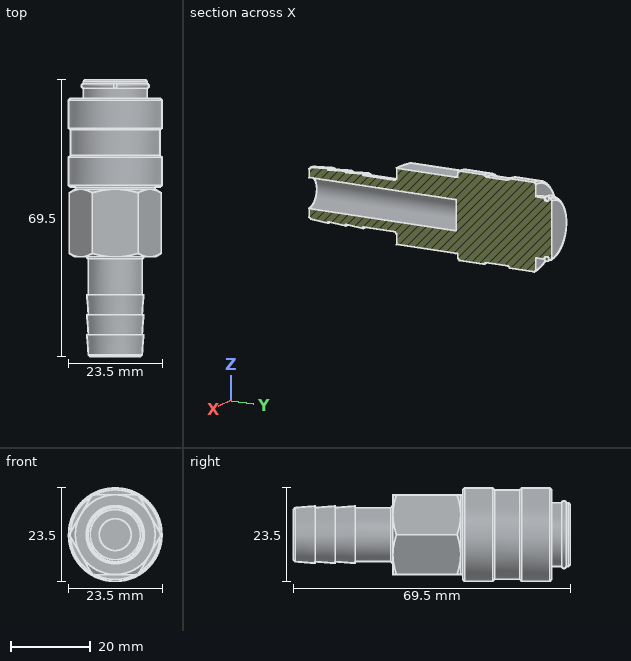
import cadquery as cq
import math


total_length = 69.5
barb_pitch = 5.0
barb_count = 3
stem_length = 25.0
hex_length = 17.0
neck_length = 0.5
sleeve_length = 22.35
land_length = 8.0

bore_diameter = 8.0
stem_diameter = 13.6
barb_diameter = 14.4
hex_across_flats = 20.0
hex_across_corners = hex_across_flats / math.cos(math.pi / 6)
neck_diameter = hex_across_flats
sleeve_diameter = 23.5
waist_diameter = 22.5
nose_diameter = 16.1

edge_chamfer = 0.5
hex_chamfer_angle = 30.0

wire_diameter = 1.2
ring_outer_diameter = 17.0
ring_from_nose_end = 1.6
ring_gap = 0.7

hex_start = stem_length
hex_end = hex_start + hex_length
sleeve_start = hex_end + neck_length
sleeve_end = sleeve_start + sleeve_length
ring_y = total_length - ring_from_nose_end
ring_radius = (ring_outer_diameter - wire_diameter) / 2
bore_depth = stem_length + hex_length


def turn(profile, angle=360.0):
    """Revolve an outline drawn with Z as radius about the Y axis."""
    return profile.revolve(angle, (0, 0, 0), (0, 1, 0))


def cylinder(diameter, start, end):
    """Solid cylinder on the Y axis between two Y stations."""
    radius = diameter / 2
    return turn(
        cq.Workplane("ZY")
        .moveTo(0, start)
        .lineTo(radius, start)
        .lineTo(radius, end)
        .lineTo(0, end)
        .close()
    )


def make_stem():
    """Hose stem with a chamfered tip, saw-tooth barbs and a flared root at the hexagon."""
    stem_radius = stem_diameter / 2
    profile = (
        cq.Workplane("ZY")
        .moveTo(0, 0)
        .lineTo(stem_radius - edge_chamfer, 0)
        .lineTo(stem_radius, edge_chamfer)
    )
    for barb in range(barb_count):
        crest_y = edge_chamfer + (barb + 1) * barb_pitch
        profile = profile.lineTo(barb_diameter / 2, crest_y).lineTo(stem_radius, crest_y)
    profile = (
        profile.lineTo(stem_radius, hex_start - edge_chamfer)
        .lineTo(stem_radius + edge_chamfer, hex_start)
        .lineTo(0, hex_start)
        .close()
    )
    return turn(profile)


def make_hexagon():
    """Hexagon with corners on +X and -X, its corners turned back by a cone at both ends."""
    prism = (
        cq.Workplane("XZ", origin=(0, hex_end, 0))
        .polygon(6, hex_across_corners)
        .extrude(hex_length)
    )
    face_radius = hex_across_flats / 2
    cone_radius = hex_across_corners / 2 + edge_chamfer
    cone_drop = (cone_radius - face_radius) * math.tan(math.radians(hex_chamfer_angle))
    envelope = turn(
        cq.Workplane("ZY")
        .moveTo(0, hex_start)
        .lineTo(face_radius, hex_start)
        .lineTo(cone_radius, hex_start + cone_drop)
        .lineTo(cone_radius, hex_end - cone_drop)
        .lineTo(face_radius, hex_end)
        .lineTo(0, hex_end)
        .close()
    )
    return prism.intersect(envelope)


def make_sleeve():
    """Grip section: a narrower waist between two lands with chamfered edges."""
    sleeve = cylinder(waist_diameter, sleeve_start, sleeve_end)
    for land_start in (sleeve_start, sleeve_end - land_length):
        land = cylinder(sleeve_diameter, land_start, land_start + land_length)
        sleeve = sleeve.union(land.faces("<Y or >Y").chamfer(edge_chamfer))
    return sleeve


def make_nose():
    """Plain cylindrical nose with a chamfered end."""
    return cylinder(nose_diameter, sleeve_end, total_length).faces(">Y").chamfer(edge_chamfer)


def ring_section():
    """Round wire section."""
    return cq.Workplane("ZY").moveTo(ring_radius, ring_y).circle(wire_diameter / 2)


def make_coupling():
    """Coupling in one piece, with the blind hose bore and the round-bottomed ring groove."""
    groove = turn(ring_section())
    return (
        make_stem()
        .union(make_hexagon())
        .union(cylinder(neck_diameter, hex_end, sleeve_start))
        .union(make_sleeve())
        .union(make_nose())
        .cut(cylinder(bore_diameter, 0, bore_depth))
        .cut(groove)
    )


def make_snap_ring():
    """Split wire ring with its gap centred on +Z."""
    gap_angle = math.degrees(ring_gap / ring_radius)
    ring = turn(ring_section(), 360 - gap_angle)
    return ring.rotate((0, 0, 0), (0, 1, 0), gap_angle / 2)


coupling = make_coupling()
snap_ring = make_snap_ring()

result = cq.Compound.makeCompound([coupling.val(), snap_ring.val()])